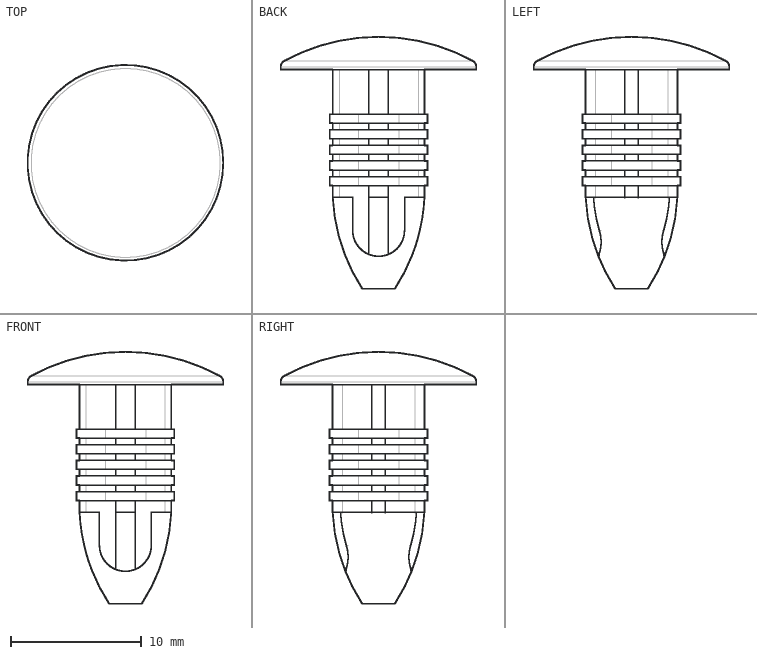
import cadquery as cq
import math

total_height = 19.3
nose_height = 7.0
head_bottom = 16.77

head_diameter = 15.0
head_radius = head_diameter / 2
rim_height = 0.23
rim_round_radius = 7.24
rim_round_mid_radius = 7.43
rim_round_mid_height = 0.48
dome_edge_height = 0.68

shank_width = 7.05
shank_radius = shank_width / 2
x_bar_thickness = 1.0
y_bar_thickness = 1.5

rib_count = 5
rib_width = 7.5
rib_corner_radius = 2.2
rib_thickness = 0.7
rib_pitch = 1.2
lowest_rib_bottom = 7.9

tip_radius = 1.25
nose_arc_radius = 14.09
slot_width = 3.98
slot_bottom = 2.49

chord_run = shank_radius - tip_radius
chord_length = math.hypot(chord_run, nose_height)
centre_offset = math.sqrt(nose_arc_radius**2 - (chord_length / 2) ** 2)
nose_arc_centre_x = (tip_radius + shank_radius) / 2 - centre_offset * nose_height / chord_length
nose_arc_centre_z = nose_height / 2 + centre_offset * chord_run / chord_length


def make_head():
    """Domed disc with a short vertical rim and a rounded edge."""
    dome_edge = head_bottom + dome_edge_height
    dome_rise = total_height - dome_edge
    dome_sphere_radius = (rim_round_radius**2 + dome_rise**2) / (2 * dome_rise)
    sphere_centre = total_height - dome_sphere_radius
    dome_mid_radius = rim_round_radius / 2
    dome_mid = sphere_centre + math.sqrt(dome_sphere_radius**2 - dome_mid_radius**2)
    return (
        cq.Workplane("XZ")
        .moveTo(0, head_bottom)
        .lineTo(head_radius, head_bottom)
        .lineTo(head_radius, head_bottom + rim_height)
        .threePointArc(
            (rim_round_mid_radius, head_bottom + rim_round_mid_height),
            (rim_round_radius, dome_edge),
        )
        .threePointArc((dome_mid_radius, dome_mid), (0, total_height))
        .close()
        .revolve(360, (0, 0, 0), (0, 1, 0))
    )


def make_shank_bar(thickness, angle):
    """Upright bar with half-round ends, from the top of the nose to the head."""
    return (
        cq.Workplane("XY")
        .workplane(offset=nose_height)
        .slot2D(shank_width, thickness, angle)
        .extrude(head_bottom - nose_height)
    )


def make_ribs():
    """Stack of equal plates around the shank."""
    ribs = cq.Workplane("XY")
    for index in range(rib_count):
        rib = (
            cq.Workplane("XY")
            .workplane(offset=lowest_rib_bottom + index * rib_pitch)
            .rect(rib_width, rib_width)
            .extrude(rib_thickness)
            .edges("|Z")
            .fillet(rib_corner_radius)
        )
        ribs = ribs.add(rib)
    return ribs.combine()


def make_bullet():
    """Solid of revolution tapering from the shank radius to the flat tip."""
    return (
        cq.Workplane("XZ")
        .lineTo(tip_radius, 0)
        .radiusArc((shank_radius, nose_height), -nose_arc_radius)
        .lineTo(0, nose_height)
        .close()
        .revolve(360, (0, 0, 0), (0, 1, 0))
    )


def make_slot():
    """Cutter for the slot: straight sides, half-round bottom, open at the top."""
    half_width = slot_width / 2
    arc_centre = slot_bottom + half_width
    return (
        cq.Workplane("XZ")
        .moveTo(-half_width, nose_height)
        .lineTo(-half_width, arc_centre)
        .threePointArc((0, slot_bottom), (half_width, arc_centre))
        .lineTo(half_width, nose_height)
        .close()
        .extrude(head_radius, both=True)
    )


def make_nose_x_bar():
    """Continuation of the X bar down through the slot."""
    return cq.Workplane("XY").box(
        slot_width, x_bar_thickness, nose_height, centered=(True, True, False)
    )


def make_round_rim_disc(centre_y):
    """Upright disc as thick as the Y bar, with a half-round rim that follows the nose arc."""
    half_thickness = y_bar_thickness / 2
    flat_radius = nose_arc_radius - half_thickness
    return (
        cq.Workplane("XZ")
        .moveTo(-half_thickness, 0)
        .lineTo(half_thickness, 0)
        .lineTo(half_thickness, flat_radius)
        .threePointArc((0, nose_arc_radius), (-half_thickness, flat_radius))
        .close()
        .revolve(360, (0, 0, 0), (1, 0, 0))
        .translate((0, centre_y, nose_arc_centre_z))
    )


def make_nose_y_bar():
    """Continuation of the Y bar, tapering with the bullet: the overlap of two round-rimmed discs."""
    return make_round_rim_disc(nose_arc_centre_x).intersect(make_round_rim_disc(-nose_arc_centre_x))


bullet = make_bullet()
slot = make_slot()
slot_web = make_nose_x_bar().union(make_nose_y_bar()).intersect(slot)

result = (
    make_head()
    .union(make_shank_bar(x_bar_thickness, 0))
    .union(make_shank_bar(y_bar_thickness, 90))
    .union(make_ribs())
    .union(bullet.cut(slot))
    .union(slot_web)
)